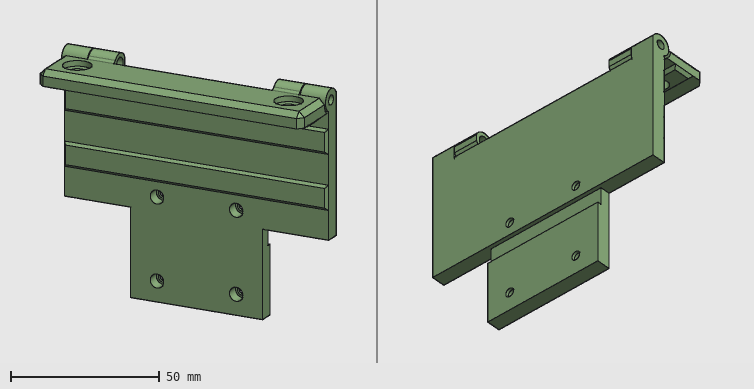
import cadquery as cq
import math

width = 100.0
total_depth = 25.7
total_height = 86.0
leaf_thickness = 5.7
axis_to_outer_face = 3.9
knuckle_radius = 4.1
clearance_radius = 5.0
knuckle_length = 10.0
knuckle_gap = 0.3
pin_hole_diameter = 3.5
bolt_head_diameter = 5.0
bolt_head_depth = 4.5
rib_width = 9.0
axis_to_inner_face = leaf_thickness - axis_to_outer_face

wall_bottom = total_height - knuckle_radius
tab_width = 50.0
tab_height = 32.3
wall_rib_height = 1.0
wall_rib_centres = [14.4, 34.4]
slot_height = 7.1
slot_depth = 1.6
mount_spacing = 30.0
mount_edge_distance = 7.5

flap_reach = total_depth - axis_to_outer_face
flap_chamfer = 2.0
flap_rib_distance = 11.9
flap_rib_height = 1.2
knuckle_fillet = 1.8
flap_hole_diameter = 5.0
flap_counterbore_diameter = 10.0
flap_counterbore_depth = 2.0
flap_hole_offset = 40.0
flap_pin_hole_diameter = 5.0

half_width = width / 2
knuckle_joint = half_width - knuckle_length


def box(x0, x1, y0, y1, z0, z1):
    """Block between two opposite corners."""
    return cq.Workplane("XY").box(x1 - x0, y1 - y0, z1 - z0, centered=False).translate((x0, y0, z0))


def axis_cylinder(radius, x0, x1):
    """Cylinder on the hinge axis between two X positions."""
    return cq.Workplane("YZ", origin=(x0, 0, 0)).circle(radius).extrude(x1 - x0)


def mirrored(shape):
    """The shape together with its copy on the other side of X = 0."""
    return shape.union(shape.mirror("YZ"))


def make_rib(height):
    """Bar rising toward -Y from the XZ plane, with all four sides sloping at 45 degrees."""
    return cq.Workplane("XZ").rect(width, rib_width).extrude(height, taper=45)


def make_wall_leaf():
    front = -axis_to_inner_face
    back = axis_to_outer_face
    facet_end = (leaf_thickness + math.sqrt(2 * knuckle_radius**2 - leaf_thickness**2)) / 2
    tab_top = tab_height - wall_bottom

    leaf = box(-half_width, half_width, front, back, tab_top, 0)
    leaf = leaf.cut(axis_cylinder(clearance_radius, -half_width, half_width))

    knuckle_end = half_width - knuckle_length + knuckle_gap
    knuckle = axis_cylinder(knuckle_radius, knuckle_end, half_width)
    knuckle = knuckle.intersect(
        box(knuckle_end, half_width, -knuckle_radius, back, -knuckle_radius, knuckle_radius)
    )
    neck = box(knuckle_end, half_width, front, back, -2 * clearance_radius, 0)
    shoulder = (
        cq.Workplane("YZ", origin=(knuckle_end, 0, 0))
        .polyline([(0, 0), (back, 0), (back, -front), (facet_end, leaf_thickness - facet_end)])
        .close()
        .extrude(half_width - knuckle_end)
    )
    leaf = leaf.union(mirrored(knuckle.union(neck).union(shoulder)))
    leaf = leaf.cut(axis_cylinder(pin_hole_diameter / 2, -half_width, half_width))

    leaf = leaf.union(box(-tab_width / 2, tab_width / 2, front, back, -wall_bottom, tab_top))
    leaf = leaf.cut(
        box(-tab_width / 2, tab_width / 2, back - slot_depth, back, tab_top - slot_height, tab_top)
    )

    for distance in wall_rib_centres:
        leaf = leaf.union(make_rib(wall_rib_height).translate((0, front, -distance)))

    mount_centre_z = -wall_bottom + mount_edge_distance + mount_spacing / 2
    return (
        leaf.copyWorkplane(cq.Workplane("XZ", origin=(0, front, mount_centre_z)))
        .rarray(mount_spacing, mount_spacing, 2, 2)
        .cboreHole(pin_hole_diameter, bolt_head_diameter, bolt_head_depth)
    )


def make_flap_knuckle():
    """Inner knuckle blended into the top face of the flap by a concave fillet."""
    top = axis_to_inner_face
    bottom = -axis_to_outer_face
    start = knuckle_joint - knuckle_length
    knuckle = axis_cylinder(knuckle_radius, start, knuckle_joint)
    knuckle = knuckle.intersect(
        box(start, knuckle_joint, -knuckle_radius, axis_to_outer_face, bottom, knuckle_radius)
    )
    neck = box(start, knuckle_joint, -2 * clearance_radius, 0, bottom, top)

    centre_z = top + knuckle_fillet
    centre_distance = knuckle_radius + knuckle_fillet
    centre_y = -math.sqrt(centre_distance**2 - centre_z**2)
    contact = knuckle_radius / centre_distance
    fillet = (
        cq.Workplane("YZ", origin=(start, 0, 0))
        .moveTo(0, 0)
        .lineTo(centre_y, top)
        .lineTo(centre_y, centre_z)
        .lineTo(centre_y * contact, centre_z * contact)
        .close()
        .extrude(knuckle_length)
    )
    fillet_cutter = (
        cq.Workplane("YZ", origin=(start, centre_y, centre_z))
        .circle(knuckle_fillet)
        .extrude(knuckle_length)
    )
    return knuckle.union(neck).union(fillet.cut(fillet_cutter))


def make_flap():
    top = axis_to_inner_face
    bottom = -axis_to_outer_face

    flap = box(-half_width, half_width, -flap_reach, 0, bottom, top)
    flap = flap.faces(">Z").edges("<X or >X or <Y").chamfer(flap_chamfer)
    inset = half_width - flap_chamfer
    corner_outline = (
        cq.Workplane("XY", origin=(0, 0, bottom))
        .polyline([
            (-half_width, 0), (-half_width, flap_chamfer - flap_reach), (-inset, -flap_reach),
            (inset, -flap_reach), (half_width, flap_chamfer - flap_reach), (half_width, 0),
        ])
        .close()
        .extrude(leaf_thickness)
    )
    flap = flap.intersect(corner_outline)

    corner_plane = cq.Plane(
        origin=(inset, flap_chamfer - flap_reach, top), xDir=(1, -1, 0), normal=(1, -1, 1)
    )
    facet_cutter = cq.Workplane(corner_plane).rect(4 * flap_chamfer, 4 * flap_chamfer).extrude(flap_chamfer)
    flap = flap.cut(mirrored(facet_cutter))
    flap = flap.cut(axis_cylinder(clearance_radius, -half_width, half_width))

    flap = flap.union(mirrored(make_flap_knuckle()))
    flap = flap.cut(axis_cylinder(flap_pin_hole_diameter / 2, -half_width, half_width))

    rib = make_rib(flap_rib_height).rotate((0, 0, 0), (1, 0, 0), 90)
    flap = flap.union(rib.translate((0, -flap_rib_distance, bottom)))

    return (
        flap.copyWorkplane(cq.Workplane("XY", origin=(0, -flap_rib_distance, top)))
        .pushPoints([(-flap_hole_offset, 0), (flap_hole_offset, 0)])
        .cboreHole(flap_hole_diameter, flap_counterbore_diameter, flap_counterbore_depth)
    )


wall_leaf = make_wall_leaf()
flap = make_flap()
result = cq.Compound.makeCompound([wall_leaf.val(), flap.val()])